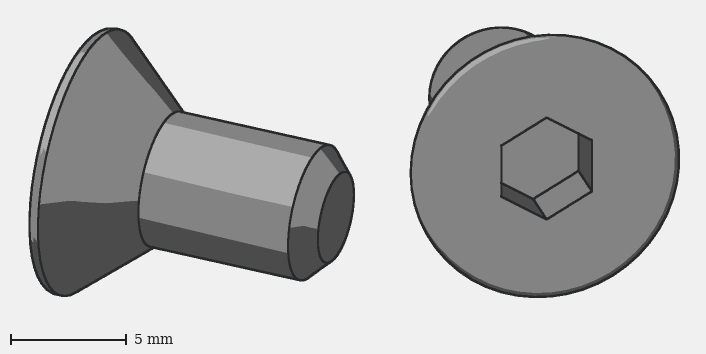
import cadquery as cq

length = 12.0
head_diameter = 11.8
shank_diameter = 6.0
head_height = 4.0
rim_width = 0.5
rim_fillet = 0.3
tip_chamfer_length = 0.98
tip_chamfer_depth = 0.98
socket_across_flats = 4.0
socket_depth = 3.0

head_radius = head_diameter / 2
shank_radius = shank_diameter / 2


def screw_body():
    """Revolve the half profile of head, shank and chamfered tip about X."""
    profile = (
        cq.Workplane("XY")
        .lineTo(0, head_radius - rim_fillet)
        .radiusArc((rim_fillet, head_radius), rim_fillet)
        .lineTo(rim_width, head_radius)
        .lineTo(head_height, shank_radius)
        .lineTo(length - tip_chamfer_length, shank_radius)
        .lineTo(length, shank_radius - tip_chamfer_depth)
        .lineTo(length, 0)
        .close()
    )
    return profile.revolve(360, (0, 0, 0), (1, 0, 0))


def hex_socket():
    """Flat-bottomed hexagonal socket with two of its flats facing along Y."""
    return (
        cq.Workplane("YZ")
        .polygon(6, socket_across_flats, circumscribed=True)
        .extrude(socket_depth)
    )


result = screw_body().cut(hex_socket())